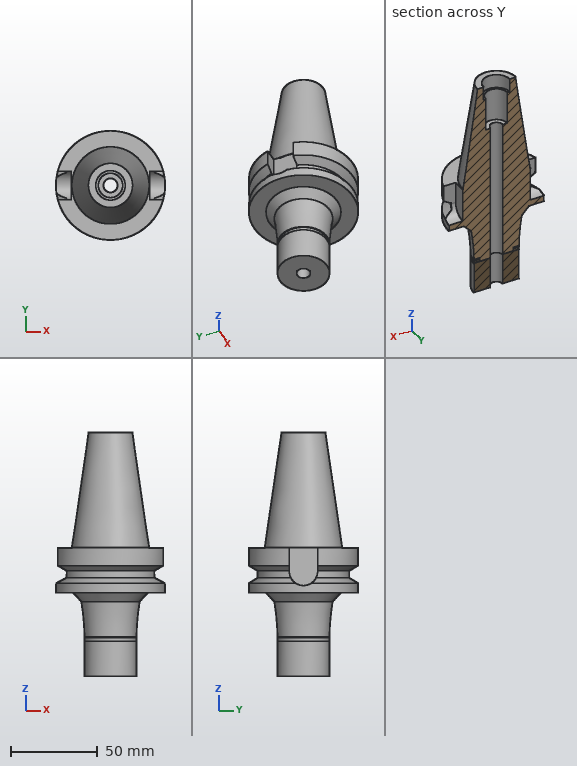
import cadquery as cq

total_height = 140.4

taper_ratio = 7 / 24
gauge_height = 75.0
gauge_diameter = 44.5
gauge_radius = gauge_diameter / 2
shank_top_radius = (gauge_diameter - taper_ratio * (total_height - gauge_height)) / 2

flange_radius = 63.0 / 2
flange_top = 74.0
flange_bottom = 48.0
groove_top = 63.7
groove_bottom = 53.6
groove_bevel_height = 3.1
groove_root_radius = 26.5

cone_top_radius = 21.6
cone_height = 5.0
neck_top = flange_bottom - cone_height
neck_top_radius = 16.8
neck_bottom = 22.7
neck_mid_height = (neck_top + neck_bottom) / 2
neck_mid_radius = 15.6

slot_width = 16.3
slot_depth = 21.8
slot_floor_distance = 22.5

pilot_diameter = 17.0
pilot_depth = 8.8
thread_diameter = 14.0
thread_depth = 30.0
through_diameter = 8.0

body_radius = 15.0
spigot_radius = 11.2
gap_height = 0.5
ring_top = neck_bottom - gap_height
head_height = 20.2


def make_holder_blank():
    """Turned outside of the holder, from the spigot end up to the top of the shank."""
    return (
        cq.Workplane("YZ")
        .moveTo(0, head_height)
        .lineTo(spigot_radius, head_height)
        .lineTo(spigot_radius, neck_bottom)
        .lineTo(body_radius, neck_bottom)
        .threePointArc((neck_mid_radius, neck_mid_height), (neck_top_radius, neck_top))
        .lineTo(cone_top_radius, flange_bottom)
        .lineTo(flange_radius, flange_bottom)
        .lineTo(flange_radius, groove_bottom)
        .lineTo(groove_root_radius, groove_bottom + groove_bevel_height)
        .lineTo(groove_root_radius, groove_top - groove_bevel_height)
        .lineTo(flange_radius, groove_top)
        .lineTo(flange_radius, flange_top)
        .lineTo(gauge_radius, flange_top)
        .lineTo(gauge_radius, gauge_height)
        .lineTo(shank_top_radius, total_height)
        .lineTo(0, total_height)
        .close()
        .revolve(360, (0, 0, 0), (0, 1, 0))
    )


def make_drive_slot(side):
    """Round-bottomed slot cutter; side is +1 for the +X slot and -1 for the -X slot."""
    slot_radius = slot_width / 2
    slot_bottom = flange_top - slot_depth
    return (
        cq.Workplane("YZ", origin=(side * slot_floor_distance, 0, 0))
        .moveTo(-slot_radius, flange_top)
        .lineTo(-slot_radius, slot_bottom + slot_radius)
        .threePointArc((0, slot_bottom), (slot_radius, slot_bottom + slot_radius))
        .lineTo(slot_radius, flange_top)
        .close()
        .extrude(side * (flange_radius - slot_floor_distance))
    )


def make_holder():
    """Taper shank, slotted flange, neck and spigot, with the stepped bore."""
    holder = make_holder_blank()
    for side in (-1, 1):
        holder = holder.cut(make_drive_slot(side))
    return (
        holder.faces(">Z").workplane().hole(pilot_diameter, pilot_depth)
        .faces(">Z").workplane().hole(thread_diameter, thread_depth)
        .faces(">Z").workplane().hole(through_diameter)
    )


def make_ring():
    """Ring on the spigot, standing on the head and leaving a narrow gap under the neck."""
    return (
        cq.Workplane("XY", origin=(0, 0, head_height))
        .circle(body_radius)
        .circle(spigot_radius)
        .extrude(ring_top - head_height)
    )


def make_head():
    """Cylindrical head with the through bore."""
    return cq.Workplane("XY").circle(body_radius).circle(through_diameter / 2).extrude(head_height)


holder = make_holder()
ring = make_ring()
head = make_head()

result = cq.Compound.makeCompound([holder.val(), ring.val(), head.val()])